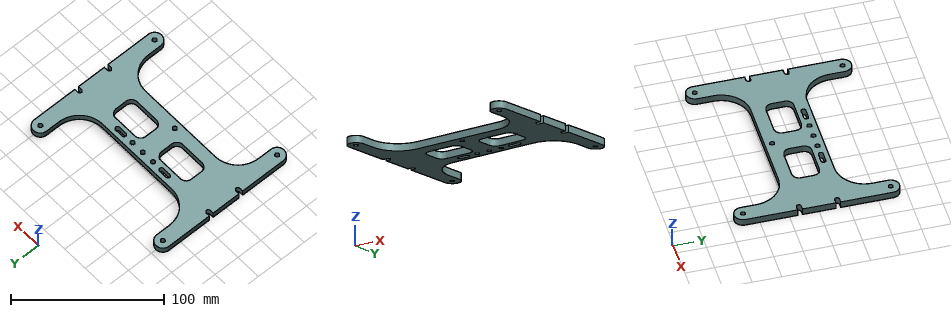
import cadquery as cq

length = 132.0
width = 112.0
thickness = 5.0

leg_width = 12.0
leg_tip_radius = leg_width / 2
bridge_width = 38.0
leg_root_radius = 20.0

hole_diameter = 3.2
leg_hole_x = length / 2 - leg_tip_radius
leg_hole_y = width / 2 - leg_tip_radius
hole_row_y = 14.0
hole_pitch = 10.0

slot_length = 9.5
slot_x = 21.5

notch_depth = 4.6
notch_y = 13.0

window_length = 28.9
window_width = 18.7
window_radius = 5.0
window_x = 22.3


def make_plate():
    """H-shaped plate: two end bars and a bridge, blended with large root fillets."""
    bridge = cq.Workplane("XY").rect(length - leg_width, bridge_width).extrude(thickness)
    bars = (
        cq.Workplane("XY")
        .pushPoints([(-leg_hole_x, 0), (leg_hole_x, 0)])
        .slot2D(width, leg_width, 90)
        .extrude(thickness)
    )
    root_corner_x = length / 2 - leg_width
    root_corner_y = bridge_width / 2
    margin = leg_width / 4
    root_corners = cq.selectors.BoxSelector(
        (-root_corner_x - margin, -root_corner_y - margin, 0),
        (root_corner_x + margin, root_corner_y + margin, thickness),
    )
    return bridge.union(bars).edges("|Z").edges(root_corners).fillet(leg_root_radius)


def cut_holes(plate):
    """Leg tip holes, the upper row of three and the single lower hole."""
    leg_holes = [(sx * leg_hole_x, sy * leg_hole_y) for sx in (-1, 1) for sy in (-1, 1)]
    row_holes = [(i * hole_pitch, hole_row_y) for i in (-1, 0, 1)]
    lower_hole = (0, -hole_row_y)
    holes = (
        cq.Workplane("XY")
        .pushPoints(leg_holes + row_holes + [lower_hole])
        .circle(hole_diameter / 2)
        .extrude(thickness)
    )
    return plate.cut(holes)


def cut_slots(plate):
    """Closed slots in the bridge, and edge notches made by slots centred on the edge."""
    slots = (
        cq.Workplane("XY")
        .pushPoints([(-slot_x, hole_row_y), (slot_x, hole_row_y)])
        .slot2D(slot_length, hole_diameter)
        .extrude(thickness)
    )
    notches = (
        cq.Workplane("XY")
        .rect(length, 2 * notch_y, forConstruction=True)
        .vertices()
        .slot2D(2 * notch_depth, hole_diameter)
        .extrude(thickness)
    )
    return plate.cut(slots).cut(notches)


def cut_windows(plate):
    """Two rounded rectangular windows, one on each side of the centre."""
    windows = (
        cq.Workplane("XY")
        .pushPoints([(-window_x, 0), (window_x, 0)])
        .rect(window_length, window_width)
        .extrude(thickness)
        .edges("|Z")
        .fillet(window_radius)
    )
    return plate.cut(windows)


result = cut_windows(cut_slots(cut_holes(make_plate())))